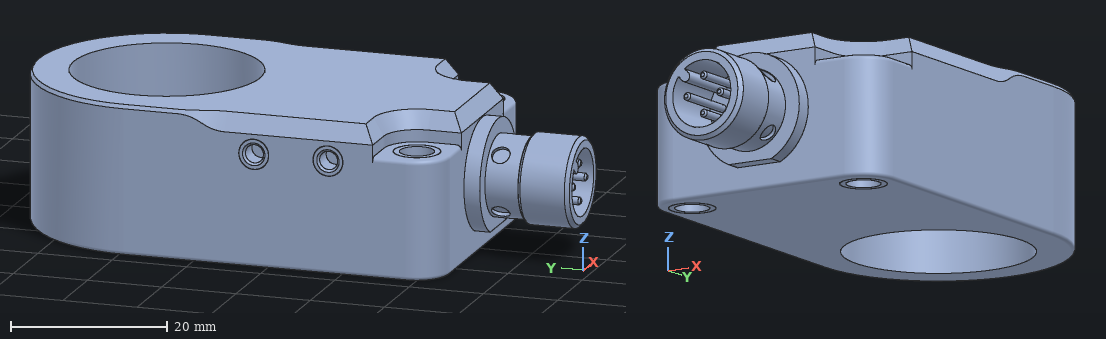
import cadquery as cq
import math

WIDTH = 35.0
HEIGHT = 20.0
FRONT_Y = -42.5
HALF_WIDTH = WIDTH / 2
OVERSHOOT = 7.35
BORE_DIAMETER = 25.1
BOTTOM_EDGE_RADIUS = 0.5

CORNER_RADIUS = 4.5
MOUNT_X = HALF_WIDTH - CORNER_RADIUS
MOUNT_Y = FRONT_Y + CORNER_RADIUS
MOUNT_POINTS = [(-MOUNT_X, MOUNT_Y), (MOUNT_X, MOUNT_Y)]
PAD_Z = 16.0
PAD_EDGE_RADIUS = 0.65
MOUNT_HOLE_DIAMETER = 6.1

BUSHING_DIAMETER = 6.0
BUSHING_BORE = 4.5

BEVEL_HEIGHT = 2.35
BEVEL_ANGLE = 30
BEVEL_Z = HEIGHT - BEVEL_HEIGHT
RUNOUT_START_Y = -13.5
RUNOUT_END_Y = -7.3
RING_BEVEL_HEIGHT = 0.5
BEVEL_SLOPE = math.tan(math.radians(BEVEL_ANGLE))
RUNOUT_SHIFT = (BEVEL_HEIGHT - RING_BEVEL_HEIGHT) * BEVEL_SLOPE

PLUG_Z = 15.0
PLUG_Y = (-17.5, -27.5)
PLUG_GROOVE_OUTER = 4.05
PLUG_GROOVE_INNER = 4.0
PLUG_GROOVE_DEPTH = 0.7
PLUG_HOLE_DIAMETER = 2.4
PLUG_HOLE_DEPTH = 2.95
PLUG_HOLE_CHAMFER = 0.3

AXIS_Z = HEIGHT / 2
LENGTH = 73.5
TIP_Y = HALF_WIDTH - LENGTH
CONNECTOR_LENGTH = FRONT_Y - TIP_Y
FLANGE_DIAMETER = 15.0
FLANGE_LENGTH = 2.1
FLANGE_FLAT = 6.75
NECK_DIAMETER = 10.8
COLLAR_DIAMETER = 12.0
COLLAR_START = 6.6
COLLAR_BACK_CHAMFER = 0.45
COLLAR_TIP_CHAMFER = 0.5
SOCKET_DIAMETER = 8.8
SOCKET_DEPTH = 8.8
SPANNER_HOLE_DIAMETER = 2.4
SPANNER_FLOOR_DIAMETER = 9.8
SPANNER_HOLE_COUNT = 4
SPANNER_HOLE_FIRST_ANGLE = 45
SPANNER_HOLE_OFFSET = 3.75
PIN_DIAMETER = 1.0
PIN_CIRCLE_RADIUS = 2.5
PIN_COUNT = 4
PIN_RECESS = 0.2
PIN_TIP_CHAMFER = 0.26
KEY_WIDTH = 1.3
KEY_NOSE_CENTER = 3.5
KEY_ANGLE = 135


def plan_prism():
    """Full-height housing outline: half-round back, rounded front corners."""
    block = (
        cq.Workplane("XY")
        .moveTo(-HALF_WIDTH, 0)
        .threePointArc((0, HALF_WIDTH), (HALF_WIDTH, 0))
        .lineTo(HALF_WIDTH, FRONT_Y)
        .lineTo(-HALF_WIDTH, FRONT_Y)
        .close()
        .extrude(HEIGHT)
    )
    block = block.edges("|Z and <Y").fillet(CORNER_RADIUS)
    block = block.faces(">Z").edges().chamfer(RING_BEVEL_HEIGHT, RING_BEVEL_HEIGHT * BEVEL_SLOPE)
    return block.faces("<Z").edges().fillet(BOTTOM_EDGE_RADIUS)


def raised_outline(plane):
    """Front edge of the raised top at the foot of its bevel, with a concave pocket at each corner."""
    wide_x = HALF_WIDTH + OVERSHOOT
    back_y = HALF_WIDTH + OVERSHOOT
    pocket_y = MOUNT_Y + CORNER_RADIUS
    pocket_x = MOUNT_X - CORNER_RADIUS
    arc_x = MOUNT_X - CORNER_RADIUS * math.sqrt(0.5)
    arc_y = MOUNT_Y + CORNER_RADIUS * math.sqrt(0.5)
    return (
        plane.moveTo(wide_x, back_y)
        .lineTo(wide_x, pocket_y)
        .lineTo(MOUNT_X, pocket_y)
        .threePointArc((arc_x, arc_y), (pocket_x, MOUNT_Y))
        .lineTo(pocket_x, FRONT_Y)
        .lineTo(-pocket_x, FRONT_Y)
        .lineTo(-pocket_x, MOUNT_Y)
        .threePointArc((-arc_x, arc_y), (-MOUNT_X, pocket_y))
        .lineTo(-wide_x, pocket_y)
        .lineTo(-wide_x, back_y)
        .close()
    )


def raised_top():
    """Envelope above the pads: upright pocket walls, then the bevel."""
    walls = raised_outline(cq.Workplane("XY").workplane(offset=PAD_Z)).extrude(BEVEL_Z - PAD_Z)
    bevel = raised_outline(cq.Workplane("XY").workplane(offset=BEVEL_Z)).extrude(
        BEVEL_HEIGHT, taper=BEVEL_ANGLE
    )
    return walls.union(bevel)


def side_bevel_cut():
    """Bevel cut for the +X side: an outline with an S-shaped runout, swept up along the slope."""
    bend_x = HALF_WIDTH + RUNOUT_SHIFT / 2
    bend_y = (RUNOUT_START_Y + RUNOUT_END_Y) / 2
    wide_x = HALF_WIDTH + OVERSHOOT
    end_x = HALF_WIDTH + RUNOUT_SHIFT
    outline = (
        cq.Workplane("XY", origin=(0, 0, BEVEL_Z))
        .moveTo(HALF_WIDTH, FRONT_Y - OVERSHOOT)
        .lineTo(HALF_WIDTH, RUNOUT_START_Y)
        .tangentArcPoint((bend_x, bend_y), relative=False)
        .tangentArcPoint((end_x, RUNOUT_END_Y), relative=False)
        .lineTo(wide_x, RUNOUT_END_Y)
        .lineTo(wide_x, FRONT_Y - OVERSHOOT)
        .close()
    )
    slope = cq.Vector(-BEVEL_HEIGHT * BEVEL_SLOPE, 0, BEVEL_HEIGHT)
    return cq.Workplane(cq.Solid.extrudeLinear(outline.val(), [], slope))


def along_connector(offset=0.0):
    """Workplane on the connector axis, facing -Y, at a distance from the housing front."""
    return cq.Workplane("XZ", origin=(0, FRONT_Y - offset, AXIS_Z))


def make_connector():
    flange = along_connector().circle(FLANGE_DIAMETER / 2).extrude(FLANGE_LENGTH)
    below_flat = (
        along_connector()
        .center(0, -FLANGE_FLAT - FLANGE_DIAMETER / 2)
        .rect(FLANGE_DIAMETER, FLANGE_DIAMETER)
        .extrude(FLANGE_LENGTH)
    )
    neck = along_connector().circle(NECK_DIAMETER / 2).extrude(COLLAR_START)
    neck = neck.cut(spanner_holes())
    collar = (
        along_connector(COLLAR_START)
        .circle(COLLAR_DIAMETER / 2)
        .extrude(CONNECTOR_LENGTH - COLLAR_START)
        .faces("<Y")
        .chamfer(COLLAR_TIP_CHAMFER)
        .faces(">Y")
        .chamfer(COLLAR_BACK_CHAMFER)
    )
    socket_floor = CONNECTOR_LENGTH - SOCKET_DEPTH
    socket = along_connector(socket_floor).circle(SOCKET_DIAMETER / 2).extrude(SOCKET_DEPTH)
    keyed_socket = socket.cut(socket_key(socket_floor))
    connector = flange.cut(below_flat).union(neck).union(collar).cut(keyed_socket)
    for turn in range(PIN_COUNT):
        angle = 2 * math.pi * turn / PIN_COUNT
        pin = (
            along_connector(socket_floor)
            .center(PIN_CIRCLE_RADIUS * math.cos(angle), PIN_CIRCLE_RADIUS * math.sin(angle))
            .circle(PIN_DIAMETER / 2)
            .extrude(SOCKET_DEPTH - PIN_RECESS)
            .faces("<Y")
            .chamfer(PIN_TIP_CHAMFER)
        )
        connector = connector.union(pin)
    return connector


def socket_key(socket_floor):
    """Round-nosed key reaching from the socket wall towards the axis."""
    slot_length = 2 * (SOCKET_DIAMETER / 2 - KEY_NOSE_CENTER) + KEY_WIDTH
    return (
        along_connector(socket_floor)
        .transformed(rotate=(0, 0, KEY_ANGLE))
        .center(SOCKET_DIAMETER / 2, 0)
        .slot2D(slot_length, KEY_WIDTH)
        .extrude(SOCKET_DEPTH)
    )


def spanner_holes():
    """Four radial holes between the axes, with the inner sleeve as their floor."""
    holes = cq.Workplane("XY")
    for turn in range(SPANNER_HOLE_COUNT):
        angle = SPANNER_HOLE_FIRST_ANGLE + 360 * turn / SPANNER_HOLE_COUNT
        drill = (
            cq.Workplane("XY", origin=(0, FRONT_Y - SPANNER_HOLE_OFFSET, AXIS_Z))
            .transformed(rotate=(0, angle, 0))
            .circle(SPANNER_HOLE_DIAMETER / 2)
            .extrude(NECK_DIAMETER)
        )
        holes = holes.add(drill)
    sleeve = along_connector().circle(SPANNER_FLOOR_DIAMETER / 2).extrude(COLLAR_START)
    return holes.combine().cut(sleeve)


def adjuster_plug_cut(y):
    """Hairline groove around a plug and the chamfered blind hole in it."""
    face = cq.Workplane("YZ", origin=(-HALF_WIDTH, y, PLUG_Z))
    groove = face.circle(PLUG_GROOVE_OUTER / 2).circle(PLUG_GROOVE_INNER / 2).extrude(PLUG_GROOVE_DEPTH)
    hole = face.circle(PLUG_HOLE_DIAMETER / 2).extrude(PLUG_HOLE_DEPTH)
    mouth = cq.Workplane(
        cq.Solid.makeCone(
            PLUG_HOLE_DIAMETER / 2 + PLUG_HOLE_CHAMFER,
            PLUG_HOLE_DIAMETER / 2,
            PLUG_HOLE_CHAMFER,
            cq.Vector(-HALF_WIDTH, y, PLUG_Z),
            cq.Vector(1, 0, 0),
        )
    )
    return groove.union(hole).union(mouth)


def round_pads(body):
    """Round the outer edges of the two pad faces; tangent edges follow the straight side edge."""
    for side in (-1, 1):
        edge_middle = (side * HALF_WIDTH, MOUNT_Y + CORNER_RADIUS / 2, PAD_Z)
        side_edge = cq.selectors.NearestToPointSelector(edge_middle)
        body = body.edges(side_edge).fillet(PAD_EDGE_RADIUS)
    return body


def make_housing():
    base = plan_prism()
    above_pads = cq.Workplane("XY").workplane(offset=PAD_Z).rect(2 * LENGTH, 2 * LENGTH).extrude(HEIGHT)
    body = base.cut(above_pads.cut(raised_top()))
    side_bevel = side_bevel_cut()
    body = body.cut(side_bevel).cut(side_bevel.mirror("YZ"))
    body = round_pads(body)
    body = body.cut(cq.Workplane("XY").circle(BORE_DIAMETER / 2).extrude(HEIGHT))
    body = body.cut(
        cq.Workplane("XY").pushPoints(MOUNT_POINTS).circle(MOUNT_HOLE_DIAMETER / 2).extrude(HEIGHT)
    )
    for y in PLUG_Y:
        body = body.cut(adjuster_plug_cut(y))
    return body.union(make_connector())


def make_bushing(x, y):
    return (
        cq.Workplane("XY", origin=(x, y, 0))
        .circle(BUSHING_DIAMETER / 2)
        .circle(BUSHING_BORE / 2)
        .extrude(PAD_Z)
    )


housing = make_housing()
bushings = [make_bushing(x, y) for x, y in MOUNT_POINTS]

result = cq.Compound.makeCompound([housing.val(), *[bushing.val() for bushing in bushings]])